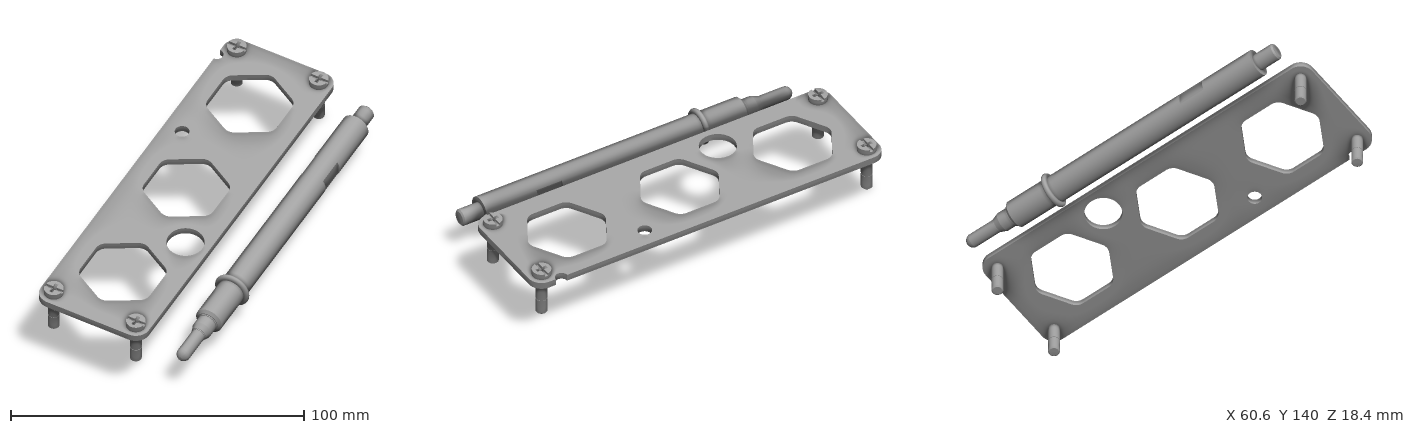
import cadquery as cq
import math

overall_width = 60.6

plate_length = 140.0
plate_width = 42.0
plate_thickness = 2.5
plate_corner_radius = 5.0

hex_across_flats = 26.9
hex_corner_radius = 4.0
hex_pitch = 45.1

small_hole_diameter = 5.0
small_hole_x = -14.0
small_hole_y = hex_pitch / 2
notch_diameter = 4.5
notch_y = 60.0

screw_spacing_x = plate_width - 2 * plate_corner_radius
screw_spacing_y = plate_length - 2 * plate_corner_radius
screw_head_diameter = 6.7
screw_head_height = 2.2
shank_diameter = 4.0
shank_length = 13.7
shank_chamfer = 0.4
shank_groove_z = -7.8
shank_groove_width = 0.4
shank_groove_depth = 0.1
drive_slot_width = 1.3
drive_slot_depth = 1.0
recess_length_top = 4.2
recess_length_bottom = 1.3
recess_depth = 1.7

probe_z = -5.6

stud_diameter = 6.0
stud_end_y = 67.9
stud_chamfer = 0.5

sleeve_diameter = 10.0
sleeve_rear_y = 59.8
sleeve_front_y = -45.4
sleeve_chamfer = 1.0
sleeve_lip_diameter = 7.4
sleeve_lip_length = 0.4
flats_distance = 8.0
flats_rear_y = 39.5
flats_length = 10.1

collar_diameter = 13.0
collar_rear_y = -26.9
collar_width = 2.0
probe_x = overall_width - (plate_width + collar_diameter) / 2

barrel_diameter = 7.0
barrel_rear_y = collar_rear_y
barrel_taper_y = -49.5
barrel_front_y = -51.7
barrel_mouth_diameter = 5.5
barrel_lip_diameter = 5.2
barrel_lip_length = 0.4

plunger_diameter = 4.9
plunger_rear_y = sleeve_front_y
plunger_dome_y = -62.6
plunger_dome_radius = 2.5
plunger_tip_y = -64.7
plunger_tip_diameter = 1.1

large_hole_diameter = collar_diameter
large_hole_x = 12.0
large_hole_y = -hex_pitch / 2


def rod(diameter, start_y, end_y):
    """Cylinder on the probe axis between two Y positions."""
    length = start_y - end_y
    return (
        cq.Workplane("XZ", origin=(probe_x, start_y, probe_z))
        .circle(diameter / 2)
        .extrude(length)
    )


def revolved_on_probe_axis(profile):
    """Turn a profile, drawn as (radius, Y), about the probe axis."""
    turned = profile.close().revolve(360, (0, 0, 0), (0, 1, 0))
    return turned.translate((probe_x, 0, probe_z))


def hex_opening(y):
    """Hexagonal cutter with rounded corners, points toward +Y and -Y."""
    across_corners = hex_across_flats / math.cos(math.radians(30))
    return (
        cq.Workplane("XY")
        .polygon(6, across_corners)
        .extrude(plate_thickness)
        .edges("|Z")
        .fillet(hex_corner_radius)
        .rotate((0, 0, 0), (0, 0, 1), 90)
        .translate((0, y, 0))
    )


def round_opening(x, y, diameter):
    return cq.Workplane("XY").center(x, y).circle(diameter / 2).extrude(plate_thickness)


def make_bare_plate():
    plate = (
        cq.Workplane("XY")
        .rect(plate_width, plate_length)
        .extrude(plate_thickness)
        .edges("|Z")
        .fillet(plate_corner_radius)
    )
    for y in (-hex_pitch, 0, hex_pitch):
        plate = plate.cut(hex_opening(y))
    plate = plate.cut(round_opening(small_hole_x, small_hole_y, small_hole_diameter))
    plate = plate.cut(round_opening(large_hole_x, large_hole_y, large_hole_diameter))
    return plate.cut(round_opening(-plate_width / 2, notch_y, notch_diameter))


def make_screw():
    """Screw on the Z axis with a straight slot and a deeper tapered cross slot."""
    head_top = plate_thickness + screw_head_height
    shank = (
        cq.Workplane("XY", origin=(0, 0, -shank_length))
        .circle(shank_diameter / 2)
        .extrude(shank_length + plate_thickness)
        .faces("<Z")
        .chamfer(shank_chamfer)
    )
    groove = (
        cq.Workplane("XY", origin=(0, 0, shank_groove_z))
        .circle(shank_diameter / 2)
        .circle(shank_diameter / 2 - shank_groove_depth)
        .extrude(shank_groove_width)
    )
    head = (
        cq.Workplane("XY", origin=(0, 0, plate_thickness))
        .circle(screw_head_diameter / 2)
        .extrude(screw_head_height)
    )
    slot = (
        cq.Workplane("XY", origin=(0, 0, head_top))
        .rect(screw_head_diameter, drive_slot_width)
        .extrude(-drive_slot_depth)
    )
    recess = (
        cq.Workplane("YZ")
        .moveTo(-recess_length_top / 2, head_top)
        .lineTo(recess_length_top / 2, head_top)
        .lineTo(recess_length_bottom / 2, head_top - recess_depth)
        .lineTo(-recess_length_bottom / 2, head_top - recess_depth)
        .close()
        .extrude(drive_slot_width / 2, both=True)
    )
    return shank.cut(groove).union(head).cut(slot).cut(recess)


def make_plate():
    plate = make_bare_plate()
    screw = make_screw()
    for x in (-screw_spacing_x / 2, screw_spacing_x / 2):
        for y in (-screw_spacing_y / 2, screw_spacing_y / 2):
            plate = plate.union(screw.translate((x, y, 0)))
    return plate


def make_barrel_blank():
    """Solid barrel, straight inside the sleeve and tapered at its mouth."""
    radius = barrel_diameter / 2
    return revolved_on_probe_axis(
        cq.Workplane("XY")
        .moveTo(0, barrel_rear_y)
        .lineTo(radius, barrel_rear_y)
        .lineTo(radius, barrel_taper_y)
        .lineTo(barrel_mouth_diameter / 2, barrel_front_y)
        .lineTo(barrel_lip_diameter / 2, barrel_front_y)
        .lineTo(barrel_lip_diameter / 2, barrel_front_y - barrel_lip_length)
        .lineTo(0, barrel_front_y - barrel_lip_length)
    )


def make_collar():
    """Press ring with a fully rounded rim."""
    rim_radius = collar_width / 2
    rim_start = collar_diameter / 2 - rim_radius
    return revolved_on_probe_axis(
        cq.Workplane("XY")
        .moveTo(0, collar_rear_y)
        .lineTo(rim_start, collar_rear_y)
        .threePointArc(
            (collar_diameter / 2, collar_rear_y - rim_radius),
            (rim_start, collar_rear_y - collar_width),
        )
        .lineTo(0, collar_rear_y - collar_width)
    )


def make_sleeve():
    tube = rod(sleeve_diameter, sleeve_rear_y, sleeve_front_y)
    tube = tube.faces("<Y").chamfer(sleeve_chamfer)

    flats_keep = (
        cq.Workplane("XY", origin=(probe_x, flats_rear_y - flats_length / 2, probe_z))
        .box(flats_distance, flats_length, sleeve_diameter)
    )
    flats_cut = rod(sleeve_diameter, flats_rear_y, flats_rear_y - flats_length).cut(flats_keep)

    stud = rod(stud_diameter, stud_end_y, sleeve_rear_y).faces(">Y").chamfer(stud_chamfer)
    lip = rod(sleeve_lip_diameter, sleeve_front_y, sleeve_front_y - sleeve_lip_length)

    sleeve = tube.cut(flats_cut).union(stud).union(lip).union(make_collar())
    return sleeve.cut(make_barrel_blank())


def make_plunger():
    """Contact pin with a domed tip."""
    radius = plunger_diameter / 2
    return revolved_on_probe_axis(
        cq.Workplane("XY")
        .moveTo(0, plunger_rear_y)
        .lineTo(radius, plunger_rear_y)
        .lineTo(radius, plunger_dome_y)
        .radiusArc((plunger_tip_diameter / 2, plunger_tip_y), plunger_dome_radius)
        .lineTo(0, plunger_tip_y)
    )


plate = make_plate()
sleeve = make_sleeve()
plunger = make_plunger()
barrel = make_barrel_blank().cut(plunger)

result = cq.Compound.makeCompound([plate.val(), sleeve.val(), barrel.val(), plunger.val()])